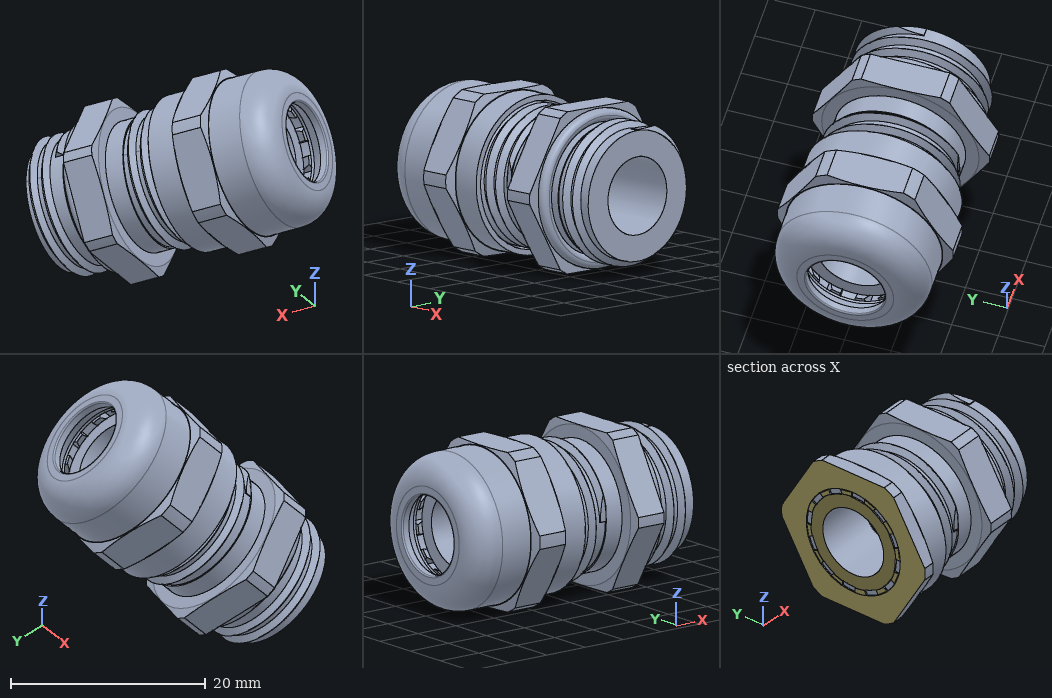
import cadquery as cq
import math


EMBED = 0.1
PITCH = 1.5
ACROSS_FLATS = 17.0
FACE_CIRCLE_RADIUS = 8.43

CAP_RADIUS = 8.37
CAP_END = 14.05
DOME_RADIUS = 3.18
MOUTH_RADIUS = 4.25
MOUTH_ROUND = 0.15
MOUTH_DEPTH = 0.88
MOUTH_CONE_END = 2.03
MOUTH_CONE_RADIUS = 4.95
CAVITY_START = 2.35
CAP_BORE_RADIUS = 7.75
CAP_HEX_START = 6.87
CAP_HEX_END = 10.93
CAP_HEX_CORNER_RADIUS = 9.43
CAP_HEX_CHAMFER = 0.35

BODY_START = 10.02
BODY_END = 29.47
CORE_RADIUS = 13.7 / 2
CREST_RADIUS = 7.55
RIDGE_BASE_WIDTH = 1.0
NECK_START = 17.85
NECK_RADIUS = 14.03 / 2
BODY_HEX_START = 19.92
BODY_HEX_END = 23.45
BODY_HEX_CORNER_RADIUS = 19.0 / 2
BODY_HEX_CHAMFER = 0.18
COLLAR_END = 25.0
COLLAR_RADIUS = 13.9 / 2
CAGE_SEAT = 15.9
OUTLET_RADIUS = 4.1

CAP_THREAD_END = 17.62
CAP_THREAD_TURNS = 4
CAP_THREAD_END_ANGLE = -90
ENTRY_THREAD_END = 28.97
ENTRY_THREAD_TURNS = 2.2
ENTRY_THREAD_END_ANGLE = 180
RUN_OUT_RADIUS = 6.93
RUN_OUT_LENGTH = 3.55

O_RING_END = 24.43
O_RING_SECTION_RADIUS = (CAP_RADIUS - COLLAR_RADIUS) / 2

CAGE_START = 2.65
CAGE_RADIUS = 6.13
CAGE_TIP_INNER_RADIUS = 4.95
FINGER_COUNT = 12
FINGER_GAP = 1.62
FIRST_GAP_ANGLE = 6
FINGER_END = 9.43

SEAL_START = 3.62
SEAL_RADIUS = 5.55
SEAL_BORE_RADIUS = 7.93 / 2


def tube(start, end, outer_radius, inner_radius):
    ring = cq.Workplane("YZ", origin=(start, 0, 0)).circle(outer_radius).circle(inner_radius)
    return ring.extrude(end - start)


def rod(start, end, radius):
    return cq.Workplane("YZ", origin=(start, 0, 0)).circle(radius).extrude(end - start)


def turned(points):
    """Solid of revolution about X from (x, radius) points."""
    return cq.Workplane("XY").polyline(points).close().revolve(360, (0, 0, 0), (1, 0, 0))


def hexagon(start, end, corner_radius, front_chamfer, back_chamfer):
    """Hexagonal collar with turned corners and conical chamfers on its end faces."""
    corner_distance = ACROSS_FLATS / math.cos(math.pi / 6)
    prism = cq.Workplane("YZ", origin=(start, 0, 0)).polygon(6, corner_distance).extrude(end - start)
    profile = [(start, 0), (start, FACE_CIRCLE_RADIUS), (start + front_chamfer, corner_radius)]
    if back_chamfer > 0:
        profile += [(end - back_chamfer, corner_radius), (end, FACE_CIRCLE_RADIUS)]
    else:
        profile += [(end, corner_radius)]
    profile += [(end, 0)]
    return prism.intersect(turned(profile))


def thread_ridge(end, turns, end_angle):
    """Triangular right-hand ridge about X that runs out on a flat at x = end."""
    height = turns * PITCH
    root_radius = CORE_RADIUS - EMBED
    root_half_width = RIDGE_BASE_WIDTH / 2 * (CREST_RADIUS - root_radius) / (CREST_RADIUS - CORE_RADIUS)
    helix = cq.Workplane(obj=cq.Wire.makeHelix(PITCH, height, root_radius))
    profile = cq.Workplane("XZ").polyline(
        [(root_radius, -root_half_width), (CREST_RADIUS, 0), (root_radius, root_half_width)]
    ).close()
    ridge = profile.sweep(helix, isFrenet=True).rotate((0, 0, 0), (0, 1, 0), 90)
    ridge = ridge.translate((end - height, 0, 0))
    run_out = cq.Workplane("XY").box(PITCH, 2 * RUN_OUT_LENGTH, CREST_RADIUS, centered=(True, True, False))
    run_out = run_out.translate((end, 0, -RUN_OUT_RADIUS - CREST_RADIUS))
    ridge = ridge.rotate((0, 0, 0), (1, 0, 0), -turns * 360).cut(run_out)
    return ridge.rotate((0, 0, 0), (1, 0, 0), end_angle)


def make_cap_nut():
    shell = rod(0, CAP_END, CAP_RADIUS).faces("<X").edges().fillet(DOME_RADIUS)
    shell = shell.union(
        hexagon(CAP_HEX_START, CAP_HEX_END, CAP_HEX_CORNER_RADIUS, CAP_HEX_CHAMFER, CAP_HEX_CHAMFER)
    )
    cavity = turned(
        [
            (0, 0),
            (0, MOUTH_RADIUS),
            (MOUTH_DEPTH, MOUTH_RADIUS),
            (MOUTH_CONE_END, MOUTH_CONE_RADIUS),
            (CAVITY_START, MOUTH_CONE_RADIUS),
            (CAVITY_START, CAGE_RADIUS),
            (BODY_START, CAGE_RADIUS),
            (BODY_START, CAP_BORE_RADIUS),
            (CAP_END, CAP_BORE_RADIUS),
            (CAP_END, 0),
        ]
    )
    mouth_edge = cq.selectors.RadiusNthSelector(0)
    return shell.cut(cavity).faces("<X").edges(mouth_edge).fillet(MOUTH_ROUND)


def make_body():
    cap_ridge = thread_ridge(CAP_THREAD_END, CAP_THREAD_TURNS, CAP_THREAD_END_ANGLE)
    cap_ridge = cap_ridge.cut(rod(NECK_START, BODY_HEX_START, BODY_HEX_CORNER_RADIUS))
    cap_shank = rod(BODY_START, NECK_START, CORE_RADIUS).union(cap_ridge)
    entry_ridge = thread_ridge(ENTRY_THREAD_END, ENTRY_THREAD_TURNS, ENTRY_THREAD_END_ANGLE)
    entry_ridge = entry_ridge.intersect(rod(COLLAR_END, BODY_END, BODY_HEX_CORNER_RADIUS))
    entry_shank = rod(COLLAR_END, BODY_END, CORE_RADIUS).union(entry_ridge)
    middle = turned(
        [
            (NECK_START, 0),
            (NECK_START, NECK_RADIUS),
            (BODY_HEX_END, NECK_RADIUS),
            (BODY_HEX_END, COLLAR_RADIUS),
            (COLLAR_END, COLLAR_RADIUS),
            (COLLAR_END, 0),
        ]
    )
    collar = hexagon(BODY_HEX_START, BODY_HEX_END, BODY_HEX_CORNER_RADIUS, BODY_HEX_CHAMFER, 0)
    body = middle.union(collar).union(cap_shank).union(entry_shank)
    return body.cut(rod(BODY_START, CAGE_SEAT, CAGE_RADIUS)).cut(rod(CAGE_SEAT, BODY_END, OUTLET_RADIUS))


def make_o_ring():
    """Round-section ring on the collar, flattened where it presses on the hexagon."""
    section_x = O_RING_END - O_RING_SECTION_RADIUS
    section_y = CAP_RADIUS - O_RING_SECTION_RADIUS
    section = cq.Workplane("XY").center(section_x, section_y).circle(O_RING_SECTION_RADIUS)
    ring = section.revolve(360, (-section_x, -section_y, 0), (0.3 - section_x, -section_y, 0))
    return ring.intersect(rod(BODY_HEX_END, BODY_END, BODY_HEX_CORNER_RADIUS))


def make_cage():
    cage = turned(
        [
            (CAGE_START, CAGE_TIP_INNER_RADIUS),
            (CAGE_START, CAGE_RADIUS),
            (CAGE_SEAT, CAGE_RADIUS),
            (CAGE_SEAT, SEAL_RADIUS),
            (SEAL_START, SEAL_RADIUS),
        ]
    )
    gap_length = FINGER_END - CAGE_START
    gap = cq.Workplane("XY").box(gap_length, FINGER_GAP, CAP_RADIUS, centered=(False, True, False))
    gap = gap.translate((CAGE_START, 0, 0))
    for i in range(FINGER_COUNT):
        cage = cage.cut(gap.rotate((0, 0, 0), (1, 0, 0), FIRST_GAP_ANGLE + i * 360 / FINGER_COUNT))
    return cage


def make_seal():
    return tube(SEAL_START, CAGE_SEAT, SEAL_RADIUS, SEAL_BORE_RADIUS)


cap_nut = make_cap_nut()
body = make_body()
o_ring = make_o_ring()
cage = make_cage()
seal = make_seal()

result = cq.Compound.makeCompound([cap_nut.val(), body.val(), o_ring.val(), cage.val(), seal.val()])